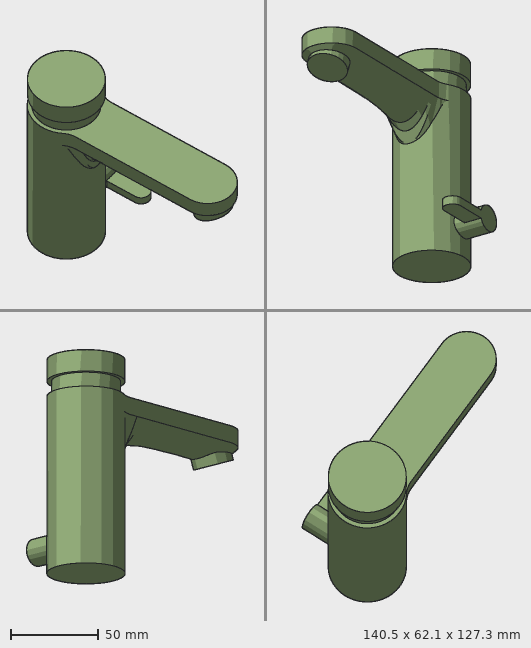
import cadquery as cq
import math

body_radius = 22.5
body_height = 105.1
neck_radius = 19.8
neck_top = 114.1
cap_radius = 22.3
cap_edge_height = 126.9
cap_peak_height = 127.3

total_length = 140.5
spout_half_width = 17.0
slab_thickness = 10.1
root_fillet = 15.6
slab_bottom = body_height - slab_thickness
tip_center_x = total_length - body_radius - spout_half_width

fillet_center_y = spout_half_width + root_fillet
fillet_center_x = math.sqrt((body_radius + root_fillet) ** 2 - fillet_center_y ** 2)
touch_ratio = body_radius / (body_radius + root_fillet)
root_x = fillet_center_x * touch_ratio
root_half_width = fillet_center_y * touch_ratio

belly_depth = 8.1
belly_stations = [
    (root_x, 50.6),
    (14.8, 42.2),
    (18.3, 33.7),
    (body_radius, 26.0),
    (24.5, 18.7),
    (28.1, 14.6),
    (35.7, 11.5),
    (49.2, 9.3),
    (63.2, 8.5),
    (tip_center_x, belly_depth),
]

nozzle_diameter = 23.6
nozzle_length = 9.8
nozzle_tilt = 21.0
nozzle_face_x = 105.2
nozzle_face_z = 85.5

knob_diameter = 16.0
knob_end_y = 39.6
knob_z = 20.0
lever_width = 11.5
lever_thickness = 5.2
lever_end_x = 33.9


def make_column():
    """Body, recessed neck and slightly conical cap as one turned profile."""
    profile = [
        (0, 0),
        (body_radius, 0),
        (body_radius, body_height),
        (neck_radius, body_height),
        (neck_radius, neck_top),
        (cap_radius, neck_top),
        (cap_radius, cap_edge_height),
        (0, cap_peak_height),
    ]
    return cq.Workplane("XZ").polyline(profile).close().revolve(360, (0, 0), (0, 1))


def fillet_mid_point():
    """Point halfway along the root fillet on the +Y side."""
    touch_angle = math.atan2(-fillet_center_y, -fillet_center_x)
    mid_angle = (touch_angle - math.pi / 2) / 2
    return (
        fillet_center_x + root_fillet * math.cos(mid_angle),
        fillet_center_y + root_fillet * math.sin(mid_angle),
    )


def make_slab():
    """Flat-topped spout with a round tip and filleted roots."""
    mid_x, mid_y = fillet_mid_point()
    return (
        cq.Workplane("XY", origin=(0, 0, slab_bottom))
        .moveTo(0, 0)
        .lineTo(root_x, root_half_width)
        .threePointArc((mid_x, mid_y), (fillet_center_x, spout_half_width))
        .lineTo(tip_center_x, spout_half_width)
        .threePointArc((tip_center_x + spout_half_width, 0), (tip_center_x, -spout_half_width))
        .lineTo(fillet_center_x, -spout_half_width)
        .threePointArc((mid_x, -mid_y), (root_x, -root_half_width))
        .close()
        .extrude(slab_thickness)
    )


def half_width_at(x):
    """Half width of the slab at a given X, including the root fillet."""
    if x >= fillet_center_x:
        return spout_half_width
    return fillet_center_y - math.sqrt(root_fillet ** 2 - (fillet_center_x - x) ** 2)


def belly_section(x, depth):
    """Closed parabola-like section hanging below the slab."""
    half_width = half_width_at(x)
    slope = 2 * depth
    edge = (
        cq.Workplane("YZ", origin=(x, 0, slab_bottom))
        .moveTo(-half_width, 0)
        .spline(
            [(0, -depth), (half_width, 0)],
            tangents=[(half_width, -slope), (half_width, slope)],
            includeCurrent=True,
        )
        .close()
    )
    return edge.val()


def make_belly():
    """Lofted underside of the spout, closed by a turned tip of the same section."""
    sections = [belly_section(x, depth) for x, depth in belly_stations]
    belly = cq.Workplane(obj=cq.Solid.makeLoft(sections, True))
    tip = (
        cq.Workplane("XZ", origin=(tip_center_x, 0, slab_bottom))
        .lineTo(0, -belly_depth)
        .spline(
            [(spout_half_width, 0)],
            tangents=[(1, 0), (spout_half_width, 2 * belly_depth)],
            includeCurrent=True,
        )
        .close()
        .revolve(360, (0, 0), (0, 1))
    )
    return belly.union(tip)


def make_nozzle():
    tilt = math.radians(nozzle_tilt)
    face = cq.Plane(
        origin=(nozzle_face_x, 0, nozzle_face_z),
        xDir=(0, 1, 0),
        normal=(-math.sin(tilt), 0, math.cos(tilt)),
    )
    return cq.Workplane(face).circle(nozzle_diameter / 2).extrude(nozzle_length)


def make_knob():
    """Round knob out of the +Y side, with a round-ended lever along +X."""
    knob = (
        cq.Workplane("XZ", origin=(0, 0, knob_z))
        .circle(knob_diameter / 2)
        .extrude(-knob_end_y)
    )
    end_radius = lever_width / 2
    lever_bottom = knob_z - lever_thickness / 2
    lever = (
        cq.Workplane("XY", origin=(0, knob_end_y - end_radius, lever_bottom))
        .moveTo(0, -end_radius)
        .lineTo(lever_end_x - end_radius, -end_radius)
        .threePointArc((lever_end_x, 0), (lever_end_x - end_radius, end_radius))
        .lineTo(0, end_radius)
        .close()
        .extrude(lever_thickness)
    )
    return knob.union(lever)


spout = make_slab().union(make_belly()).union(make_nozzle())
result = make_column().union(spout).union(make_knob())